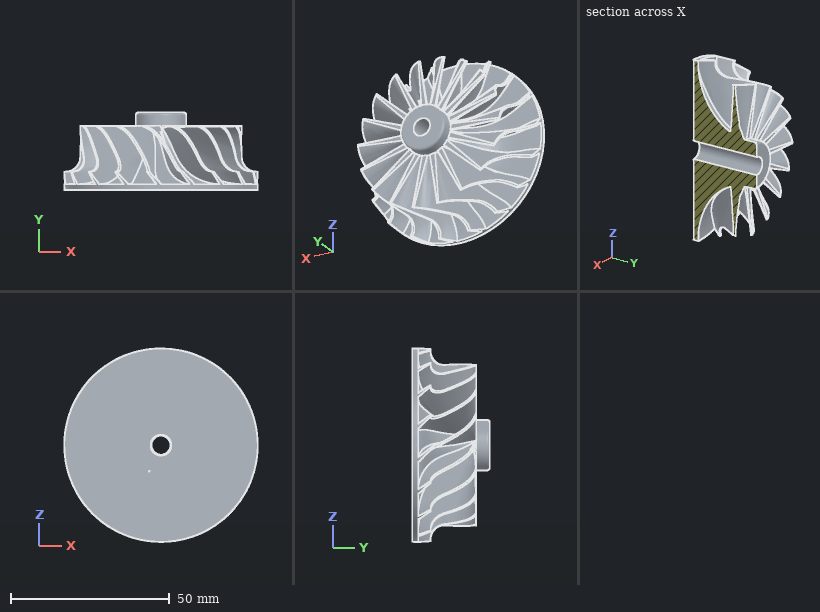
import cadquery as cq
import math

WHEEL_RADIUS = 30.5
RIM_THICKNESS = 1.9
NOSE_RADIUS = 8.0
HUB_CURVE_TOP = 20.75
TOTAL_LENGTH = 24.5
NOSE_FILLET = 1.0
BORE_RADIUS = 3.0
BORE_CHAMFER = 0.3
TRIM_MARGIN = 0.6

INLET_RADIUS = 25.5
INLET_HEIGHT = 20.25
OUTLET_HEIGHT = 5.85
SHROUD_ARC_RADIUS = 4.45
SHROUD_ARC_END = INLET_RADIUS + SHROUD_ARC_RADIUS

BLADE_COUNT = 18
FIRST_FOOT_ANGLE = -1.3
BLADE_OVERLAP = 1.2
MIN_BLADE_SPAN = 3.65
INLET_HUB_LAG = 35.0
INLET_SHROUD_LAG = 31.8
INLET_TRIM_REACH = 12.2

BLADE_STATIONS = [
    (RIM_THICKNESS / 2, -1.6, -1.6, 1.6, 1.6),
    (RIM_THICKNESS, 0.0, 0.0, 1.6, 1.6),
    (3.65, 4.0, 2.9, 1.35, 1.15),
    (OUTLET_HEIGHT, 7.0, 6.3, 1.35, 0.75),
    (8.55, 9.2, 9.2, 1.35, 0.7),
    (11.3, 11.2, 12.3, 1.35, 0.7),
    (14.35, 14.5, 16.3, 1.45, 0.75),
    (17.4, 21.0, 21.4, 1.8, 0.8),
    (19.2, 26.0, 26.3, 2.45, 1.0),
    (INLET_HEIGHT, 32.0, 32.0, 3.05, 1.2),
]


def revolve_about_y(profile):
    """Turn a closed XY profile a full revolution about the Y axis."""
    return profile.revolve(360, (0, 0, 0), (0, 1, 0))


def hub_radius(height):
    """Radius of the quarter-ellipse hub curve at a given height."""
    drop = (HUB_CURVE_TOP - max(height, RIM_THICKNESS)) / (HUB_CURVE_TOP - RIM_THICKNESS)
    return WHEEL_RADIUS - (WHEEL_RADIUS - NOSE_RADIUS) * math.sqrt(1 - drop**2)


def shroud_radius(height):
    """Radius of the shroud line at a given height."""
    if height <= OUTLET_HEIGHT:
        return WHEEL_RADIUS
    below_arc_center = max(OUTLET_HEIGHT + SHROUD_ARC_RADIUS - height, 0)
    return SHROUD_ARC_END - math.sqrt(SHROUD_ARC_RADIUS**2 - below_arc_center**2)


def point_behind_foot(radius, height, lag):
    """Point at a radius and height, a number of degrees behind the first blade foot."""
    angle = math.radians(FIRST_FOOT_ANGLE - lag)
    return cq.Vector(radius * math.sin(angle), height, radius * math.cos(angle))


def make_hub():
    """Disc, elliptical hub and rounded nose in one revolve."""
    rim_radius = WHEEL_RADIUS + TRIM_MARGIN
    profile = (
        cq.Workplane("XY")
        .lineTo(rim_radius, 0)
        .lineTo(rim_radius, RIM_THICKNESS)
        .lineTo(WHEEL_RADIUS, RIM_THICKNESS)
        .ellipseArc(
            WHEEL_RADIUS - NOSE_RADIUS,
            HUB_CURVE_TOP - RIM_THICKNESS,
            180,
            270,
            startAtCurrent=True,
            sense=-1,
        )
        .lineTo(NOSE_RADIUS, TOTAL_LENGTH - NOSE_FILLET)
        .radiusArc((NOSE_RADIUS - NOSE_FILLET, TOTAL_LENGTH), -NOSE_FILLET)
        .lineTo(0, TOTAL_LENGTH)
        .close()
    )
    return revolve_about_y(profile)


def make_shroud_envelope():
    """Body of revolution that trims the blades to the shroud line."""
    rim_radius = WHEEL_RADIUS + TRIM_MARGIN
    profile = (
        cq.Workplane("XY")
        .lineTo(rim_radius, 0)
        .lineTo(rim_radius, OUTLET_HEIGHT)
        .lineTo(SHROUD_ARC_END, OUTLET_HEIGHT)
        .radiusArc((INLET_RADIUS, OUTLET_HEIGHT + SHROUD_ARC_RADIUS), SHROUD_ARC_RADIUS)
        .lineTo(INLET_RADIUS, INLET_HEIGHT)
        .lineTo(0, INLET_HEIGHT)
        .close()
    )
    return revolve_about_y(profile)


def make_inlet_trim():
    """Block behind the leading edge that gives it a narrow blunt face."""
    root = point_behind_foot(NOSE_RADIUS, 0, INLET_HUB_LAG)
    tip = point_behind_foot(INLET_RADIUS, 0, INLET_SHROUD_LAG)
    along = (tip - root).normalized()
    behind = cq.Vector(-along.z, 0, along.x) * INLET_TRIM_REACH
    start = root - along * INLET_TRIM_REACH
    end = tip + along * INLET_TRIM_REACH
    outline = cq.Wire.makePolygon([start, end, end + behind, start + behind], close=True)
    block = cq.Solid.extrudeLinear(outline, [], cq.Vector(0, TOTAL_LENGTH, 0))
    return cq.Workplane(block)


def blade_section(height, hub_lag, shroud_lag, hub_width, shroud_width):
    """Tapered four-sided slice of the blade at one height."""
    outer_radius = shroud_radius(height)
    inner_radius = min(hub_radius(height), outer_radius - MIN_BLADE_SPAN)
    inner = point_behind_foot(inner_radius, height, hub_lag)
    outer = point_behind_foot(outer_radius, height, shroud_lag)
    along = (outer - inner).normalized()
    across = cq.Vector(along.z, 0, -along.x)
    inner -= along * BLADE_OVERLAP
    outer += along * BLADE_OVERLAP
    corners = [
        inner - across * (hub_width / 2),
        inner + across * (hub_width / 2),
        outer + across * (shroud_width / 2),
        outer - across * (shroud_width / 2),
    ]
    return cq.Wire.makePolygon(corners, close=True)


def make_blade():
    """First blade: lofted blank, trimmed at the shroud and the leading edge."""
    sections = [blade_section(*station) for station in BLADE_STATIONS]
    blank = cq.Workplane(cq.Solid.makeLoft(sections))
    return blank.intersect(make_shroud_envelope()).cut(make_inlet_trim())


def make_bore():
    """Through bore with a small lead-in chamfer at the flat back."""
    mouth_radius = BORE_RADIUS + BORE_CHAMFER
    profile = (
        cq.Workplane("XY")
        .lineTo(mouth_radius, 0)
        .lineTo(BORE_RADIUS, BORE_CHAMFER)
        .lineTo(BORE_RADIUS, TOTAL_LENGTH)
        .lineTo(0, TOTAL_LENGTH)
        .close()
    )
    return revolve_about_y(profile)


first_blade = make_blade()
blade_pitch = 360 / BLADE_COUNT
blades = [
    first_blade.rotate((0, 0, 0), (0, 1, 0), index * blade_pitch).val()
    for index in range(BLADE_COUNT)
]
bladed_hub = cq.Workplane(make_hub().val().fuse(*blades))
rim_limit = cq.Workplane("XZ").circle(WHEEL_RADIUS).extrude(-TOTAL_LENGTH)
wheel = bladed_hub.intersect(rim_limit).cut(make_bore())
result = cq.Workplane(wheel.solids().val())